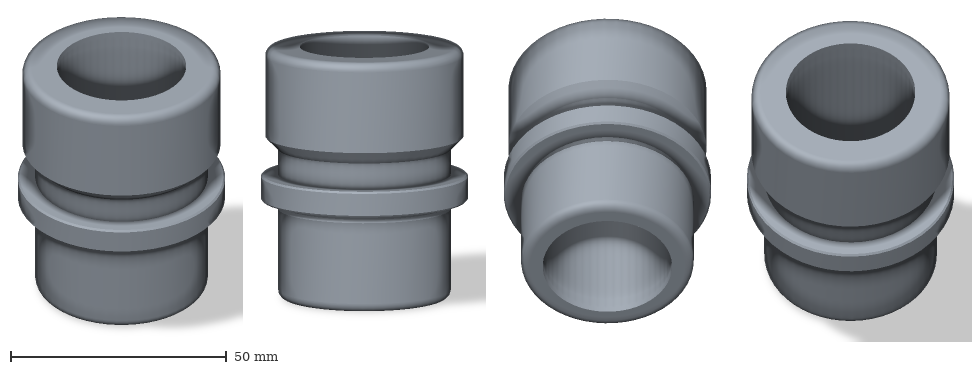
import cadquery as cq

total_height = 59.0
bore_radius = 15.0

body_radius = 20.0
spigot_shoulder = 21.0
groove_depth = 0.7

flange_radius = 24.0
flange_bottom = 23.0
flange_thickness = 6.0
flange_chamfer = 0.4

head_radius = 22.95
neck_length = 6.0
end_edge_radius = 2.0

groove_radius = body_radius - groove_depth
groove_bottom = spigot_shoulder + groove_depth
flange_top = flange_bottom + flange_thickness
cone_bottom = flange_top + neck_length
cone_top = cone_bottom + head_radius - body_radius


def cylinder(radius, bottom, top):
    """Solid cylinder on the Z axis between two heights."""
    return cq.Workplane("XY").workplane(offset=bottom).circle(radius).extrude(top - bottom)


spigot = (
    cylinder(body_radius, 0, groove_bottom)
    .faces("<Z").edges().fillet(end_edge_radius)
    .faces(">Z").edges().chamfer(groove_depth)
)
groove_core = cylinder(groove_radius, groove_bottom, flange_bottom)

flange = cylinder(flange_radius, flange_bottom, flange_top).edges("%CIRCLE").chamfer(flange_chamfer)
neck = cylinder(body_radius, flange_top, cone_bottom)

head = (
    cylinder(head_radius, cone_bottom, total_height)
    .faces("<Z").edges().chamfer(cone_top - cone_bottom)
    .faces(">Z").edges().fillet(end_edge_radius)
)

outer_body = spigot.union(groove_core).union(flange).union(neck).union(head)
result = outer_body.cut(cylinder(bore_radius, 0, total_height))